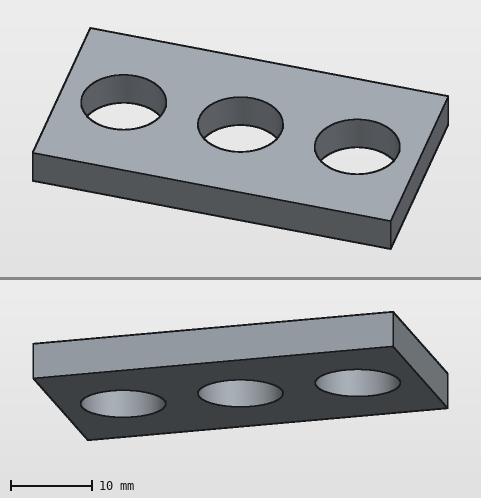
import cadquery as cq

length = 46.0
width = 25.0
thickness = 4.5

hole_diameter = 10.5
hole_spacing = 15.0
hole_count = 3

plate = cq.Workplane("XY").box(length, width, thickness)

result = (
    plate.faces(">Z")
    .workplane()
    .rarray(hole_spacing, 0.45, hole_count, 1)
    .hole(hole_diameter)
)